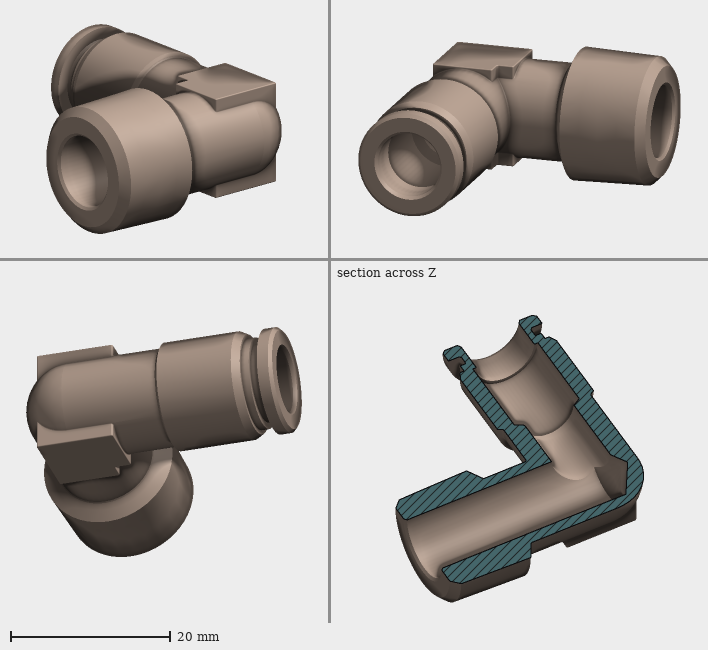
import cadquery as cq
import math


overall_length = 36.15
overall_height = 16.88
plug_large_radius = overall_height / 2
tube_reach = overall_length - plug_large_radius
thread_reach = 24.5

body_radius = 6.25
crotch_fillet = 0.18
shoulder_foot = 0.15

ring_radius = 6.72
ring_length = 1.88
ring_chamfer = 0.45
neck_radius = 5.0
neck_bevel = 0.25
collar_radius = 5.82
collar_start = 3.2
sleeve_radius = 6.9
sleeve_start = 4.23
sleeve_end = 15.3
sleeve_lead_length = 1.0
sleeve_lead_drop = 0.55
sleeve_back_length = 0.3

plug_small_radius = 8.15
plug_chamfer = 1.1
plug_shoulder = 10.88
plug_back_length = 1.15

tube_bore_radius = 4.12
tube_bore_length = 4.5
tube_lead_in_length = 0.47
tube_lead_in_rise = 0.33
tube_socket_radius = 4.63
tube_socket_end = sleeve_end
passage_radius = 3.5
thread_bore_radius = 4.63
thread_bore_chamfer = 0.33
thread_bore_end_y = 2.0
drill_half_angle = 59

pad_near = -6.05
pad_far = 3.98
pad_notch = -3.9
pad_height = 6.58
pad_corner_fillet = 0.2
pad_top_fillet = 0.15
pad_foot_fillet = 0.15

pick_margin = 0.05


def turned_along_tube(profile):
    """Revolve (depth from the open end, radius) points about the tube port axis."""
    points = [(depth - tube_reach, radius) for depth, radius in profile]
    return cq.Workplane("XY").polyline(points).close().revolve(360, (0, 0), (1, 0))


def turned_along_thread(profile):
    """Revolve (depth from the open end, radius) points about the threaded port axis."""
    points = [(radius, depth - thread_reach) for depth, radius in profile]
    return cq.Workplane("XY").polyline(points).close().revolve(360, (0, 0), (0, 1))


def elbow_body():
    tube_leg_length = tube_reach - sleeve_end
    thread_leg_length = thread_reach - plug_shoulder
    tube_leg = cq.Workplane("YZ").circle(body_radius).extrude(-tube_leg_length)
    thread_leg = cq.Workplane("XZ").circle(body_radius).extrude(thread_leg_length)
    body = tube_leg.union(thread_leg).union(cq.Workplane("XY").sphere(body_radius))
    crotch_half_size = body_radius / 2
    crotch_zone = cq.selectors.BoxSelector(
        (-body_radius, -body_radius, -crotch_half_size),
        (-crotch_half_size, -crotch_half_size, crotch_half_size),
    )
    return body.edges(crotch_zone).fillet(crotch_fillet)


def pad():
    corners = [
        (pad_near, pad_far),
        (pad_far, pad_far),
        (pad_far, pad_near),
        (pad_notch, pad_near),
        (pad_notch, pad_notch),
        (pad_near, pad_notch),
    ]
    block = cq.Workplane("XY").polyline(corners).close().extrude(pad_height)
    block = block.edges("|Z").fillet(pad_corner_fillet)
    return block.faces(">Z").edges().fillet(pad_top_fillet)


def tube_port():
    return turned_along_tube([
        (0, 0),
        (0, ring_radius - ring_chamfer),
        (ring_chamfer, ring_radius),
        (ring_length, ring_radius),
        (ring_length, neck_radius + neck_bevel),
        (ring_length + neck_bevel, neck_radius),
        (collar_start, neck_radius),
        (collar_start, collar_radius),
        (sleeve_start, collar_radius),
        (sleeve_start, sleeve_radius - sleeve_lead_drop),
        (sleeve_start + sleeve_lead_length, sleeve_radius),
        (sleeve_end - sleeve_back_length, sleeve_radius),
        (sleeve_end, body_radius + shoulder_foot),
        (sleeve_end + shoulder_foot, body_radius),
        (sleeve_end + shoulder_foot, 0),
    ])


def threaded_port():
    plug_end = plug_shoulder + plug_back_length
    return turned_along_thread([
        (0, 0),
        (0, plug_small_radius - plug_chamfer),
        (plug_chamfer, plug_small_radius),
        (plug_shoulder, plug_large_radius),
        (plug_end, body_radius + shoulder_foot),
        (plug_end + shoulder_foot, body_radius),
        (plug_end + shoulder_foot, 0),
    ])


def cone_length(large_radius, small_radius):
    """Axial length of a drill point cone between two radii."""
    return (large_radius - small_radius) / math.tan(math.radians(drill_half_angle))


def tube_bore():
    socket_cone_end = tube_socket_end + cone_length(tube_socket_radius, passage_radius)
    return turned_along_tube([
        (0, 0),
        (0, tube_bore_radius + tube_lead_in_rise),
        (tube_lead_in_length, tube_bore_radius),
        (tube_bore_length, tube_bore_radius),
        (tube_bore_length, tube_socket_radius),
        (tube_socket_end, tube_socket_radius),
        (socket_cone_end, passage_radius),
        (tube_reach, passage_radius),
        (tube_reach, 0),
    ])


def thread_bore():
    bore_depth = thread_reach + thread_bore_end_y
    return turned_along_thread([
        (0, 0),
        (0, thread_bore_radius + thread_bore_chamfer),
        (thread_bore_chamfer, thread_bore_radius),
        (bore_depth, thread_bore_radius),
        (bore_depth + cone_length(thread_bore_radius, 0), 0),
    ])


def body_with_pads():
    upper_pad = pad()
    body = elbow_body().union(upper_pad).union(upper_pad.mirror("XY"))
    foot_bottom = body_radius / 2
    foot_top = body_radius + pick_margin
    near = pad_near - pick_margin
    far = pad_far + pick_margin
    for side in (1, -1):
        foot_zone = cq.selectors.BoxSelector(
            (near, near, side * foot_bottom),
            (far, far, side * foot_top),
        )
        body = body.edges(foot_zone).edges("not(|Z)").fillet(pad_foot_fillet)
    return body


result = (
    body_with_pads()
    .union(tube_port())
    .union(threaded_port())
    .cut(tube_bore())
    .cut(thread_bore())
)